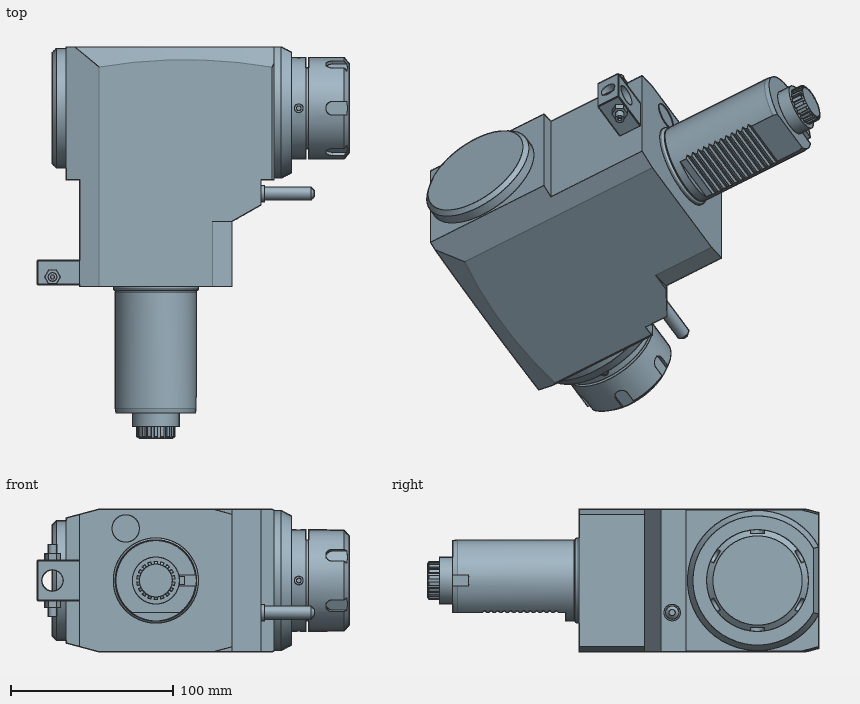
import cadquery as cq
import math


HEIGHT = 88.0
HALF_HEIGHT = HEIGHT / 2
BACK_Y = 147.7
STEP_Y = 65.8
LEFT_X = -55.2
RIGHT_X = 72.8
WAIST_X = 47.0
SHOULDER_X = 64.8
SHOULDER_Y = 50.4
WAIST_TOP_Y = 40.2
BEVEL_START_X = 35.0
BEVEL_ANGLE = math.radians(15)
END_BEVEL_WIDTH = 1.2
END_BEVEL_DROP = 0.7
BACK_CONE_RADIUS = 313.3
BACK_CONE_X = 18.0
BACK_CONE_FRONT_Y = 139.8
MARK_X = -18.5
MARK_Z = 32.0
MARK_RADIUS = 8.5
MARK_DEPTH = 0.5

SPINDLE_Y = 110.0
CAP_RADIUS = 36.9
CAP_X = -63.9
CAP_CHAMFER = 2.7
FLANGE_RADIUS = 43.1
FLANGE_TIP_RADIUS = 39.8
FLANGE_BEVEL_X = 77.0
FLANGE_END_X = 83.6
RING_END_X = 92.3
NUT_START_X = 94.0
NUT_END_X = 119.0
NUT_RADIUS = 31.3
NUT_CHAMFER_LENGTH = 3.1
NUT_CHAMFER_DEPTH = 3.9
GROOVE_RADIUS = 25.0
SLOT_COUNT = 6
SLOT_WIDTH = 8.5
SLOT_START_X = 104.5
SLOT_FLOOR_RADIUS = 29.0
SCREW_COUNT = 4
SCREW_RADIUS = 2.7
SCREW_DEPTH = 1.2
SOCKET_RADIUS = 1.5
SOCKET_DEPTH = 3.0

COLLAR_RADIUS = 26.3
COLLAR_LENGTH = 2.5
SHANK_RADIUS = 25.0
SHANK_END_Y = -77.8
NECK_RADIUS = 24.8
SHANK_START_Y = -3.1
SHANK_END_CHAMFER_LENGTH = 3.0
SHANK_END_CHAMFER_DEPTH = 0.5
PILOT_RADIUS = 14.5
PILOT_END_Y = -86.0
SPLINE_RADIUS = 11.8
SPLINE_ROOT_RADIUS = 10.1
TOTAL_LENGTH = 241.0
SPLINE_END_Y = BACK_Y - TOTAL_LENGTH
SPLINE_CHAMFER = 1.0
TOOTH_COUNT = 18
SPLINE_GAP_WIDTH = 2.0
FLAT_Z = -19.8
FLAT_START_Y = -8.2
NOTCH_COUNT = 12
NOTCH_ROW_LENGTH = 44.0
NOTCH_PITCH = NOTCH_ROW_LENGTH / (NOTCH_COUNT - 1)
NOTCH_WIDTH = 3.0
NOTCH_DEPTH = 1.2
FIRST_NOTCH_Y = -14.0
KEYWAY_WIDTH = 6.7
KEYWAY_DEPTH = 10.0
KEY_POCKET_WIDTH = 5.0
KEY_POCKET_END_X = 17.5
KEY_POCKET_EXTRA_DEPTH = 2.5

PIN_Y = 57.4
PIN_Z = -19.8
PIN_RADIUS = 4.0
PIN_END_X = 97.5
PIN_CHAMFER = 2.2
PIN_COLLAR_RADIUS = 5.0
PIN_COLLAR_LENGTH = 2.2

BLOCK_LEFT_X = -73.0
BLOCK_BOTTOM_Y = 1.2
BLOCK_TOP_Y = 16.5
BLOCK_HALF_HEIGHT = 12.5
BLOCK_CHAMFER = 0.5
BLOCK_HOLE_X = -63.6
BLOCK_HOLE_RADIUS = 6.5
SIDE_HOLE_Y = 8.7
SIDE_HOLE_RADIUS = 4.8
SIDE_HOLE_END_X = -59.5
SIDE_HOLE_POINT = 3.0
NOZZLE_Y = 6.0
NOZZLE_HEX_SIZE = 9.6
NOZZLE_HEX_HEIGHT = 16.6
NOZZLE_RADIUS = 2.7
NOZZLE_HEIGHT = 22.2
NOZZLE_SOCKET_SIZE = 2.7
NOZZLE_SOCKET_DEPTH = 2.5

OVERLAP = 2.5


def box(x0, x1, y0, y1, z0, z1):
    """Axis-aligned block between two corners."""
    return cq.Workplane("XY").box(x1 - x0, y1 - y0, z1 - z0, centered=False).translate((x0, y0, z0))


def rod_x(x0, x1, y, z, radius):
    """Cylinder along X."""
    return cq.Workplane("YZ", origin=(x0, y, z)).circle(radius).extrude(x1 - x0)


def rod_y(y0, y1, x, z, radius):
    """Cylinder along Y."""
    return cq.Workplane("XZ", origin=(x, y0, z)).circle(radius).extrude(y0 - y1)


def bevel_pair(x_start, x_end, drop, y0, y1):
    """Wedges that slope the top and bottom faces down by drop between x_start and x_end."""
    top = (
        cq.Workplane("XZ", origin=(0, y1, 0))
        .polyline([(x_start, HALF_HEIGHT), (x_end, HALF_HEIGHT), (x_end, HALF_HEIGHT - drop)])
        .close()
        .extrude(y1 - y0)
    )
    return top.union(top.mirror("XY"))


def make_body():
    outline = [
        (-WAIST_X, 0), (WAIST_X, 0), (WAIST_X, WAIST_TOP_Y), (SHOULDER_X, SHOULDER_Y),
        (SHOULDER_X, STEP_Y), (RIGHT_X, STEP_Y), (RIGHT_X, BACK_Y),
        (LEFT_X, BACK_Y), (LEFT_X, STEP_Y), (-WAIST_X, STEP_Y),
    ]
    body = cq.Workplane("XY").polyline(outline).close().extrude(HALF_HEIGHT, both=True)

    slope = math.tan(BEVEL_ANGLE)
    left_drop = (-BEVEL_START_X - LEFT_X) * slope
    waist_drop = (WAIST_X - BEVEL_START_X) * slope
    body = body.cut(bevel_pair(-BEVEL_START_X, LEFT_X, left_drop, 0, BACK_Y))
    body = body.cut(bevel_pair(BEVEL_START_X, WAIST_X, waist_drop, 0, WAIST_TOP_Y))
    body = body.cut(bevel_pair(RIGHT_X - END_BEVEL_WIDTH, RIGHT_X, END_BEVEL_DROP, STEP_Y, BACK_Y))

    rim_radius = BACK_CONE_RADIUS + HALF_HEIGHT / slope
    double_cone = (
        cq.Workplane("XZ")
        .polyline([
            (0, -HALF_HEIGHT), (BACK_CONE_RADIUS, -HALF_HEIGHT), (rim_radius, 0),
            (BACK_CONE_RADIUS, HALF_HEIGHT), (0, HALF_HEIGHT),
        ])
        .close()
        .revolve(360, (0, 0, 0), (0, 1, 0))
        .translate((BACK_CONE_X, BACK_CONE_FRONT_Y - BACK_CONE_RADIUS, 0))
    )
    body = body.intersect(double_cone)
    return body.cut(rod_y(0, MARK_DEPTH, MARK_X, MARK_Z, MARK_RADIUS))


def turned_x(profile):
    """Solid turned about the spindle axis from (x, radius) points."""
    return (
        cq.Workplane("XY", origin=(0, SPINDLE_Y, 0))
        .polyline(profile)
        .close()
        .revolve(360, (0, 0, 0), (1, 0, 0))
    )


def make_cap():
    start_x = LEFT_X + OVERLAP
    return turned_x([
        (start_x, 0), (start_x, CAP_RADIUS), (CAP_X + CAP_CHAMFER, CAP_RADIUS),
        (CAP_X, CAP_RADIUS - CAP_CHAMFER), (CAP_X, 0),
    ])


def make_flange():
    """Coned flange, trimmed flush with the back of the body."""
    flange = turned_x([
        (RIGHT_X, 0), (RIGHT_X, FLANGE_RADIUS), (FLANGE_BEVEL_X, FLANGE_RADIUS),
        (FLANGE_END_X, FLANGE_TIP_RADIUS), (FLANGE_END_X, 0),
    ])
    bevel_depth = FLANGE_RADIUS - FLANGE_TIP_RADIUS
    low_y = SPINDLE_Y - FLANGE_RADIUS
    trim = (
        cq.Workplane("XY")
        .polyline([
            (RIGHT_X, low_y), (FLANGE_END_X, low_y), (FLANGE_END_X, BACK_Y - bevel_depth),
            (FLANGE_BEVEL_X, BACK_Y), (RIGHT_X, BACK_Y),
        ])
        .close()
        .extrude(FLANGE_RADIUS, both=True)
    )
    return flange.intersect(trim)


def around_spindle(tool, index, count):
    """Copy of a tool made above the spindle, turned to its place around the axis."""
    axis_start = (0, SPINDLE_Y, 0)
    axis_end = (1, SPINDLE_Y, 0)
    return tool.rotate(axis_start, axis_end, index * 360 / count)


def make_nut():
    start_x = FLANGE_END_X - OVERLAP
    nut = turned_x([
        (start_x, 0), (start_x, NUT_RADIUS), (RING_END_X, NUT_RADIUS), (RING_END_X, GROOVE_RADIUS),
        (NUT_START_X, GROOVE_RADIUS), (NUT_START_X, NUT_RADIUS),
        (NUT_END_X - NUT_CHAMFER_LENGTH, NUT_RADIUS),
        (NUT_END_X, NUT_RADIUS - NUT_CHAMFER_DEPTH), (NUT_END_X, 0),
    ])

    slot_center_x = SLOT_START_X + SLOT_WIDTH / 2
    slot_base = cq.Workplane("XY", origin=(slot_center_x, SPINDLE_Y, SLOT_FLOOR_RADIUS))
    slot = slot_base.circle(SLOT_WIDTH / 2).extrude(NUT_RADIUS - SLOT_FLOOR_RADIUS)
    slot = slot.union(box(
        slot_center_x, NUT_END_X,
        SPINDLE_Y - SLOT_WIDTH / 2, SPINDLE_Y + SLOT_WIDTH / 2,
        SLOT_FLOOR_RADIUS, NUT_RADIUS,
    ))
    for index in range(SLOT_COUNT):
        nut = nut.cut(around_spindle(slot, index, SLOT_COUNT))

    ring_center_x = (FLANGE_END_X + RING_END_X) / 2
    screw_base = cq.Workplane("XY", origin=(ring_center_x, SPINDLE_Y, NUT_RADIUS))
    screw = screw_base.circle(SCREW_RADIUS).extrude(-SCREW_DEPTH)
    screw = screw.union(screw_base.circle(SOCKET_RADIUS).extrude(-SOCKET_DEPTH))
    for index in range(SCREW_COUNT):
        nut = nut.cut(around_spindle(screw, index, SCREW_COUNT))
    return nut


def make_spline():
    spline = (
        cq.Workplane("XY")
        .polyline([
            (0, PILOT_END_Y + OVERLAP), (SPLINE_RADIUS, PILOT_END_Y + OVERLAP),
            (SPLINE_RADIUS, SPLINE_END_Y + SPLINE_CHAMFER),
            (SPLINE_ROOT_RADIUS, SPLINE_END_Y), (0, SPLINE_END_Y),
        ])
        .close()
        .revolve(360, (0, 0, 0), (0, 1, 0))
    )
    half_gap = SPLINE_GAP_WIDTH / 2
    gap = box(SPLINE_ROOT_RADIUS, SPLINE_RADIUS + OVERLAP, SPLINE_END_Y, PILOT_END_Y, -half_gap, half_gap)
    for index in range(TOOTH_COUNT):
        spline = spline.cut(gap.rotate((0, 0, 0), (0, 1, 0), index * 360 / TOOTH_COUNT))
    return spline


def make_shank():
    collar_round = COLLAR_RADIUS - NECK_RADIUS
    round_middle = (
        NECK_RADIUS + collar_round * math.cos(math.pi / 4),
        collar_round - COLLAR_LENGTH - collar_round * math.sin(math.pi / 4),
    )
    shank = (
        cq.Workplane("XY")
        .moveTo(0, OVERLAP)
        .lineTo(COLLAR_RADIUS, OVERLAP)
        .lineTo(COLLAR_RADIUS, collar_round - COLLAR_LENGTH)
        .threePointArc(round_middle, (NECK_RADIUS, -COLLAR_LENGTH))
        .lineTo(SHANK_RADIUS, SHANK_START_Y)
        .lineTo(SHANK_RADIUS, SHANK_END_Y + SHANK_END_CHAMFER_LENGTH)
        .lineTo(SHANK_RADIUS - SHANK_END_CHAMFER_DEPTH, SHANK_END_Y)
        .lineTo(0, SHANK_END_Y)
        .close()
        .revolve(360, (0, 0, 0), (0, 1, 0))
    )

    shank = shank.cut(box(
        -SHANK_RADIUS, SHANK_RADIUS, SHANK_END_Y, FLAT_START_Y, -SHANK_RADIUS, FLAT_Z,
    ))
    for index in range(NOTCH_COUNT):
        notch_y = FIRST_NOTCH_Y - index * NOTCH_PITCH
        notch = (
            cq.Workplane("YZ")
            .polyline([
                (notch_y - NOTCH_WIDTH / 2, FLAT_Z), (notch_y, FLAT_Z + NOTCH_DEPTH),
                (notch_y + NOTCH_WIDTH / 2, FLAT_Z),
            ])
            .close()
            .extrude(SHANK_RADIUS, both=True)
        )
        shank = shank.cut(notch)

    keyway_y = SHANK_END_Y + KEYWAY_DEPTH
    half_key = KEYWAY_WIDTH / 2
    half_pocket = KEY_POCKET_WIDTH / 2
    shank = shank.cut(box(PILOT_RADIUS, SHANK_RADIUS, SHANK_END_Y, keyway_y, -half_key, half_key))
    shank = shank.cut(box(
        PILOT_RADIUS, KEY_POCKET_END_X, SHANK_END_Y, keyway_y + KEY_POCKET_EXTRA_DEPTH,
        -half_pocket, half_pocket,
    ))

    pilot = rod_y(keyway_y, PILOT_END_Y, 0, 0, PILOT_RADIUS)
    return shank.union(pilot).union(make_spline())


def make_coolant_pin():
    start_x = SHOULDER_X - OVERLAP
    pin = rod_x(start_x, PIN_END_X, PIN_Y, PIN_Z, PIN_RADIUS).faces(">X").chamfer(PIN_CHAMFER)
    return pin.union(rod_x(start_x, SHOULDER_X + PIN_COLLAR_LENGTH, PIN_Y, PIN_Z, PIN_COLLAR_RADIUS))


def make_coolant_block():
    block = box(
        BLOCK_LEFT_X, -WAIST_X, BLOCK_BOTTOM_Y, BLOCK_TOP_Y, -BLOCK_HALF_HEIGHT, BLOCK_HALF_HEIGHT,
    )
    block = block.edges("|X or <X").chamfer(BLOCK_CHAMFER)

    nozzle_base = cq.Workplane("XY", origin=(BLOCK_HOLE_X, NOZZLE_Y, 0))
    nozzles = nozzle_base.polygon(6, NOZZLE_HEX_SIZE).extrude(NOZZLE_HEX_HEIGHT, both=True)
    nozzles = nozzles.union(nozzle_base.circle(NOZZLE_RADIUS).extrude(NOZZLE_HEIGHT, both=True))
    for direction in (1, -1):
        socket_base = nozzle_base.workplane(offset=direction * NOZZLE_HEIGHT)
        socket = socket_base.polygon(6, NOZZLE_SOCKET_SIZE).extrude(-direction * NOZZLE_SOCKET_DEPTH)
        nozzles = nozzles.cut(socket)
    block = block.union(nozzles)

    block = block.cut(rod_y(BLOCK_TOP_Y, BLOCK_BOTTOM_Y, BLOCK_HOLE_X, 0, BLOCK_HOLE_RADIUS))

    side_hole = (
        cq.Workplane("XY", origin=(0, SIDE_HOLE_Y, 0))
        .polyline([
            (BLOCK_LEFT_X, 0), (BLOCK_LEFT_X, SIDE_HOLE_RADIUS), (SIDE_HOLE_END_X, SIDE_HOLE_RADIUS),
            (SIDE_HOLE_END_X + SIDE_HOLE_POINT, 0),
        ])
        .close()
        .revolve(360, (0, 0, 0), (1, 0, 0))
    )
    return block.cut(side_hole)


result = (
    make_body()
    .union(make_cap())
    .union(make_flange())
    .union(make_nut())
    .union(make_shank())
    .union(make_coolant_pin())
    .union(make_coolant_block())
)